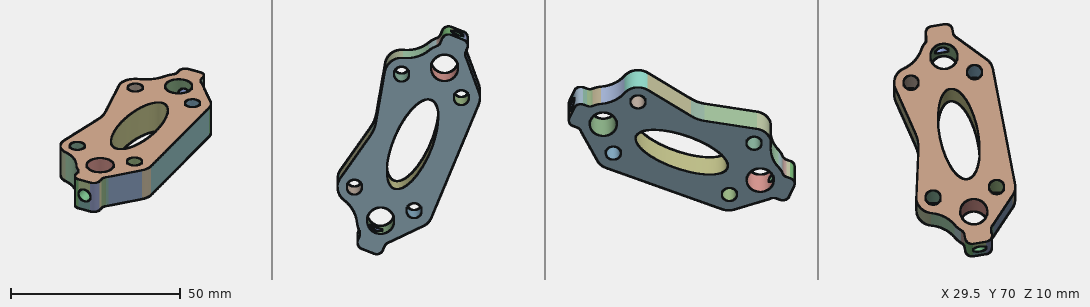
import cadquery as cq
import math

length = 70.0
width = 29.5
thickness = 10.0

window_half_width = 5.7
window_half_length = 14.5
port_diameter = 8.0
port_y = 25.0
bolt_diameter = 4.5
bolt_left_x = -11.0
bolt_right_x = 8.0
bolt_y = 18.5
cross_drill_diameter = 4.0

tab_half_width = 4.0
tab_radius = 2.0
corner_radius = 5.0
port_wall_radius = 7.0
hollow_radius = 10.0
waist_x = -12.25

half_length = length / 2
left_x = bolt_left_x - corner_radius
right_x = left_x + width

port_center = (0, port_y)
left_corner = (bolt_left_x, bolt_y)
right_corner = (right_x - corner_radius, bolt_y)
waist_center = (waist_x - hollow_radius, 0)
tab_root_x = tab_half_width + tab_radius
tab_root_y = port_y + math.sqrt((port_wall_radius + tab_radius) ** 2 - tab_root_x**2)
left_tab_root = (-tab_root_x, tab_root_y)
right_tab_root = (tab_root_x, tab_root_y)


def heading(start, end):
    """Angle of the line from start to end."""
    return math.atan2(end[1] - start[1], end[0] - start[0])


def on_circle(center, radius, angle):
    return (center[0] + radius * math.cos(angle), center[1] + radius * math.sin(angle))


def add_arc(outline, center, radius, start_angle, end_angle):
    """Continue the outline along an arc, taking the shorter way round."""
    sweep = math.remainder(end_angle - start_angle, 2 * math.pi)
    middle = on_circle(center, radius, start_angle + sweep / 2)
    return outline.threePointArc(middle, on_circle(center, radius, end_angle))


def hollow_center():
    """Centre of the concave arc tangent to the left corner and the port wall."""
    corner_reach = corner_radius + hollow_radius
    port_reach = port_wall_radius + hollow_radius
    span = math.dist(left_corner, port_center)
    cosine = (corner_reach**2 + span**2 - port_reach**2) / (2 * corner_reach * span)
    return on_circle(left_corner, corner_reach, heading(left_corner, port_center) + math.acos(cosine))


def half_plate():
    """The +Y half, traced clockwise from the middle of the waist."""
    hollow = hollow_center()

    waist_span = math.dist(left_corner, waist_center)
    waist_normal = heading(left_corner, waist_center) - math.acos(
        (corner_radius + hollow_radius) / waist_span
    )
    shoulder_span = math.dist(port_center, right_corner)
    shoulder_normal = heading(port_center, right_corner) + math.acos(
        (port_wall_radius - corner_radius) / shoulder_span
    )

    outline = cq.Workplane("XY").moveTo(waist_x, 0)
    outline = add_arc(outline, waist_center, hollow_radius, 0, waist_normal + math.pi)
    outline = outline.lineTo(*on_circle(left_corner, corner_radius, waist_normal))
    outline = add_arc(outline, left_corner, corner_radius, waist_normal, heading(left_corner, hollow))

    outline = add_arc(
        outline, hollow, hollow_radius, heading(hollow, left_corner), heading(hollow, port_center)
    )
    outline = add_arc(
        outline, port_center, port_wall_radius,
        heading(port_center, hollow), heading(port_center, left_tab_root),
    )
    outline = add_arc(outline, left_tab_root, tab_radius, heading(left_tab_root, port_center), 0)

    tab_corner_x = tab_half_width - tab_radius
    tab_corner_y = half_length - tab_radius
    outline = outline.lineTo(-tab_half_width, tab_corner_y)
    outline = add_arc(outline, (-tab_corner_x, tab_corner_y), tab_radius, math.pi, math.pi / 2)
    outline = outline.lineTo(tab_corner_x, half_length)
    outline = add_arc(outline, (tab_corner_x, tab_corner_y), tab_radius, math.pi / 2, 0)
    outline = outline.lineTo(tab_half_width, tab_root_y)

    outline = add_arc(
        outline, right_tab_root, tab_radius, math.pi, heading(right_tab_root, port_center)
    )
    outline = add_arc(
        outline, port_center, port_wall_radius, heading(port_center, right_tab_root), shoulder_normal
    )
    outline = outline.lineTo(*on_circle(right_corner, corner_radius, shoulder_normal))
    outline = add_arc(outline, right_corner, corner_radius, shoulder_normal, 0)
    return outline.lineTo(right_x, 0).close().extrude(thickness)


def through_holes(diameter, centers):
    return cq.Workplane("XY").pushPoints(centers).circle(diameter / 2).extrude(thickness)


def cross_drill():
    """Hole from the +Y tab end into its port."""
    return (
        cq.Workplane("XZ", origin=(0, half_length, thickness / 2))
        .circle(cross_drill_diameter / 2)
        .extrude(half_length - port_y)
    )


upper_half = half_plate()
plate = upper_half.union(upper_half.mirror("XZ")).clean()

window = cq.Workplane("XY").ellipse(window_half_width, window_half_length).extrude(thickness)
ports = through_holes(port_diameter, [(0, port_y), (0, -port_y)])
bolt_holes = through_holes(
    bolt_diameter, [(x, y) for x in (bolt_left_x, bolt_right_x) for y in (bolt_y, -bolt_y)]
)
drill = cross_drill()

result = plate.cut(window).cut(ports).cut(bolt_holes)
result = result.cut(drill).cut(drill.mirror("XZ"))